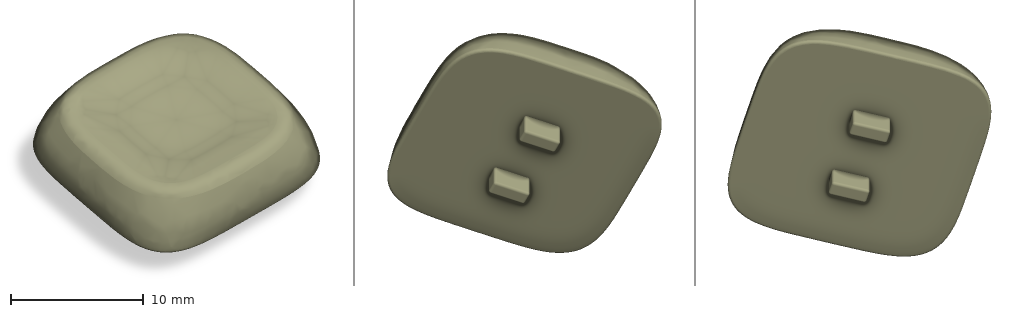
import cadquery as cq
import math

base_half = 8.98
base_power = 4.4
band_height = 0.27
foot_radius = 0.2

wall_radius = 6.18
shoulder_height = 3.81
shoulder_power = 3.1
shoulder_lift = 0.09
wall_sections = 6

rim_radius = 1.25
rim_overrun = 17.0
rim_power = 3.8
rim_sections = 5

dish_floor = 3.54
dish_rings = (0.5, 0.8)
dish_ring_points = 8

leg_width = 1.17
leg_length = 2.95
leg_drop = 1.78
leg_spacing = 5.71
leg_radius = 0.2
leg_overlap = 0.18

outline_points = 48


def ring(half, power, height, lift=0.0, count=outline_points):
    """Points around a superellipse, raised by `lift` at its four corners."""
    points = []
    for i in range(count):
        angle = 2 * math.pi * i / count
        c = math.cos(angle)
        s = math.sin(angle)
        reach = half / (abs(c) ** power + abs(s) ** power) ** (1 / power)
        rise = lift * math.sin(2 * angle) ** 2
        points.append(cq.Vector(reach * c, reach * s, height + rise))
    return points


def outline(half, power, height, lift=0.0):
    """Closed smooth curve through a superellipse ring."""
    points = ring(half, power, height, lift)
    return cq.Wire.assembleEdges([cq.Edge.makeSpline(points, periodic=True)])


def blend(start, end, t):
    """Value part-way from start (t = 0) to end (t = 1)."""
    return start + (end - start) * t


wall_rise = shoulder_height - band_height
wall_tilt = math.asin(wall_rise / wall_radius)
wall_outlines = []
for i in range(wall_sections):
    t = i / (wall_sections - 1)
    tilt = wall_tilt * t
    wall_outlines.append(
        outline(
            base_half - wall_radius * (1 - math.cos(tilt)),
            blend(base_power, shoulder_power, t),
            band_height + wall_radius * math.sin(tilt),
            shoulder_lift * t**2,
        )
    )

shoulder_half = base_half - wall_radius * (1 - math.cos(wall_tilt))
rim_centre_half = shoulder_half - rim_radius * math.cos(wall_tilt)
rim_centre_height = shoulder_height - rim_radius * math.sin(wall_tilt)
rim_end = math.radians(90 + rim_overrun)
rim_outlines = [wall_outlines[-1]]
for i in range(1, rim_sections):
    t = i / (rim_sections - 1)
    turn = blend(wall_tilt, rim_end, t)
    rim_outlines.append(
        outline(
            rim_centre_half + rim_radius * math.cos(turn),
            blend(shoulder_power, rim_power, t),
            rim_centre_height + rim_radius * math.sin(turn),
            shoulder_lift * (1 - t) ** 2,
        )
    )


def dish_face():
    """Bowl inside the rim, leaving the dish edge at the slope of the bead."""
    edge_half = rim_centre_half + rim_radius * math.cos(rim_end)
    edge_height = rim_centre_height + rim_radius * math.sin(rim_end)
    depth = edge_height - dish_floor
    bowl_power = edge_half * math.tan(math.radians(rim_overrun)) / depth
    points = [cq.Vector(0, 0, dish_floor)]
    for fraction in dish_rings:
        height = dish_floor + depth * fraction**bowl_power
        points += ring(edge_half * fraction, rim_power, height, count=dish_ring_points)
    return cq.Face.makeNSidedSurface(rim_outlines[-1].Edges(), points)


def upper_cap():
    """Wall, rim, dish and flat underside sewn into a solid."""
    wall = cq.Solid.makeLoft(wall_outlines).Faces()[0]
    rim = cq.Solid.makeLoft(rim_outlines).Faces()[0]
    underside = cq.Face.makeFromWires(wall_outlines[0])
    shell = cq.Shell.makeShell([wall, rim, dish_face(), underside])
    return cq.Workplane(cq.Solid.makeSolid(shell))


def foot_band():
    """Straight band under the wall with a rounded bottom edge."""
    foot_outline = outline(base_half, base_power, 0)
    band = cq.Solid.extrudeLinear(foot_outline, [], cq.Vector(0, 0, band_height))
    return cq.Workplane(band).faces("<Z").edges().fillet(foot_radius)


def legs():
    """Pair of rectangular legs with rounded corners and tips."""
    leg_height = leg_drop + leg_overlap
    return (
        cq.Workplane("XY")
        .workplane(offset=-leg_drop)
        .rarray(leg_spacing, 0.18, 2, 1)
        .rect(leg_width, leg_length)
        .extrude(leg_height)
        .edges("|Z or <Z")
        .fillet(leg_radius)
    )


result = foot_band().union(upper_cap()).union(legs())